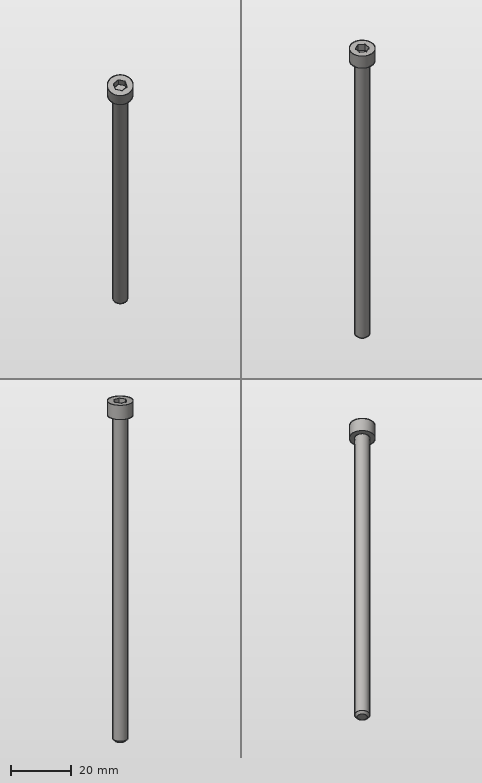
import cadquery as cq
import math

total_length = 120.0
head_diameter = 8.5
shank_diameter = 5.0
head_height = shank_diameter
tip_chamfer = 0.8
socket_flats = 4.0
socket_depth = head_height / 2
socket_sides = 6

shank_length = total_length - head_height
socket_corners = socket_flats / math.cos(math.pi / socket_sides)


def make_shank():
    """Plain cylinder without modelled threads, chamfered at the tip."""
    shank = cq.Workplane("XY").circle(shank_diameter / 2).extrude(shank_length)
    return shank.faces("<Z").chamfer(tip_chamfer)


def make_head():
    return cq.Workplane("XY").workplane(offset=shank_length).circle(head_diameter / 2).extrude(head_height)


def make_socket():
    """Hexagonal key socket with two corners on the X axis."""
    top = cq.Workplane("XY").workplane(offset=total_length)
    return top.polygon(socket_sides, socket_corners).extrude(-socket_depth)


result = make_shank().union(make_head()).cut(make_socket())